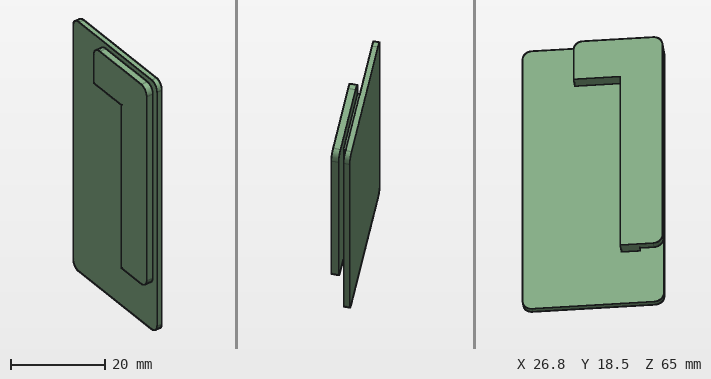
import cadquery as cq

plate_width = 30.15
plate_height = 65.0
plate_thickness = 1.3
corner_radius = 2.0

clip_width = 19.0
clip_height = 52.0
clip_thickness = 1.6
head_height = 9.5
stem_width = 9.05

spacer_thickness = 1.1
spacer_top_setback = 5.15
spacer_right_setback = 5.0

tilt = -30.0

clip_left = plate_width - clip_width
stem_left = plate_width - stem_width
clip_bottom = plate_height - clip_height
head_bottom = plate_height - head_height


def slab(outline, back, thickness):
    """Extrude an XZ outline toward -Y, starting at a distance in front of the plate's back."""
    return outline.extrude(thickness).translate((0, -back, 0))


def hook_outline(right, top):
    """Hook with a short head at the top left and a stem running down the right."""
    return cq.Workplane("XZ").polyline([
        (clip_left, top),
        (right, top),
        (right, clip_bottom),
        (stem_left, clip_bottom),
        (stem_left, head_bottom),
        (clip_left, head_bottom),
    ]).close()


plate_outline = cq.Workplane("XZ").rect(plate_width, plate_height, centered=False)
plate = slab(plate_outline, 0, plate_thickness).edges("|Y").fillet(corner_radius)

spacer_outline = hook_outline(plate_width - spacer_right_setback, plate_height - spacer_top_setback)
spacer = slab(spacer_outline, plate_thickness, spacer_thickness)

clip = slab(hook_outline(plate_width, plate_height), plate_thickness + spacer_thickness, clip_thickness)
clip = clip.edges("|Y").edges(">Z").fillet(corner_radius)
clip = clip.edges("|Y and >X").edges("<Z").fillet(corner_radius)

result = plate.union(spacer).union(clip).rotate((0, 0, 0), (0, 0, 1), tilt)